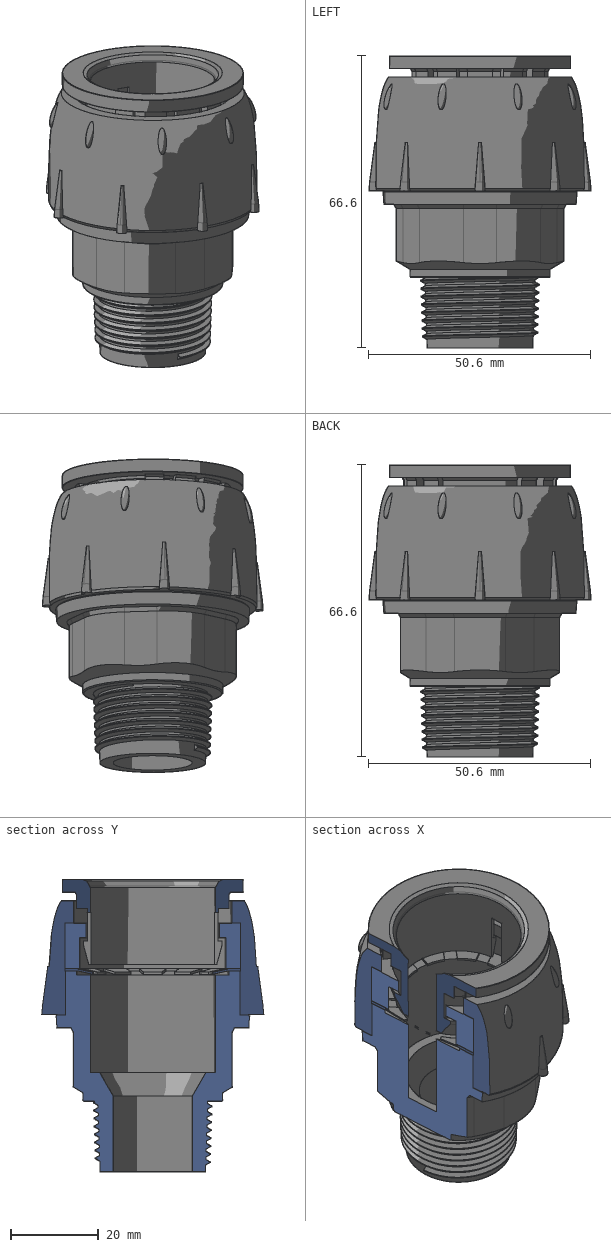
import cadquery as cq
import math


TOTAL_HEIGHT = 66.55
THREAD_START_Z = 2.2
BAND_BOTTOM_Z = 16.05
BAND_TOP_Z = 18.0
HEX_TOP_Z = 31.75
FLANGE_BOTTOM_Z = 32.75
NUT_BOTTOM_Z = 35.8
SLEEVE_TOP_Z = 45.7
GRIP_TOP_Z = 46.25
COLLAR_BOTTOM_Z = 47.25
CLAMP_TOP_Z = 56.65
NUT_TOP_Z = 61.75
COLLAR_FLANGE_BOTTOM_Z = 63.6

PIPE_RADIUS = 14.2
NUT_BORE_RADIUS = 19.95

CORE_RADIUS = 12.05
BAND_RADIUS = 16.0
BAND_CHAMFER = 0.25
HEX_SIDES = 6
HEX_APOTHEM = 18.1
HEX_CORNER_RADIUS = 11.65
HEX_CHAMFER_SLOPE = 0.6
HEX_FLARE = 0.5
FLANGE_RADIUS = 22.1
FLANGE_BOTTOM_RADIUS = 21.9
FLANGE_CHAMFER = 0.3
WATERWAY_RADIUS = 9.0
FUNNEL_RADIUS = 12.05
FUNNEL_BOTTOM_Z = 17.3
PIPE_STOP_Z = 22.6
GRIP_RECESS_RADIUS = 17.3
GRIP_RECESS_Z = 44.85

THREAD_TAPER = 1 / 32
THREAD_RISE = 14.2
THREAD_TURNS = 7.8
THREAD_DEPTH = 1.0
THREAD_BASE_WIDTH = 1.6
THREAD_CREST_WIDTH = 0.2
THREAD_OVERLAP = 0.25
CORE_TOP_RADIUS = CORE_RADIUS + BAND_TOP_Z * THREAD_TAPER

NUT_TOP_RADIUS = 20.8
NUT_SHOULDER = (22.55, 57.2)
NUT_WAIST = (23.5, 49.9)
NUT_TOP_DIRECTION = (-0.6, 0.8)
NUT_SKIRT_RADIUS = 23.75
NUT_SKIRT_DIRECTION = (0, 1)
NUT_BOTTOM_CHAMFER = 0.6
NUT_OPENING_RADIUS = 18.0
GRIP_COUNT = 8
RIB_OUTER_RADIUS = 25.3
RIB_KINK_RADIUS = 25.15
RIB_KINK_Z = 37.8
RIB_TIP_RADIUS = 23.95
RIB_TIP_Z = 46.8
RIB_BOTTOM_HALF_WIDTH = 1.2
RIB_KINK_HALF_WIDTH = 1.05
RIB_TIP_HALF_WIDTH = 0.3
BUMP_TOP = (21.2, 60.3)
BUMP_BOTTOM = (23.2, 54.3)
BUMP_HALF_WIDTH = 1.0

COLLAR_FLANGE_RADIUS = 20.6
COLLAR_EDGE_CHAMFER = 0.1
COLLAR_MOUTH_RADIUS = 15.85
COLLAR_LEAD_RADIUS = 15.0
COLLAR_LEAD_Z = 66.15
COLLAR_LEAD_BOTTOM_RADIUS = 14.4
COLLAR_LEAD_BOTTOM_Z = 65.0
COLLAR_BORE_TOP_Z = 64.7
COLLAR_NECK_RADIUS = 15.5
COLLAR_NECK_BOTTOM_Z = 59.9
COLLAR_FINGER_RADIUS = 15.0
NECK_FLARE_RADIUS_STEP = 0.3
NECK_FLARE_HEIGHT = 0.6
BARB_RADIUS = 15.85
BARB_TOP_Z = 52.6
BARB_BOTTOM_RADIUS = 14.65
BARB_SHOULDER_Z = 51.6
SLOT_WIDTH = 2.8
SLOT_TOP_Z = 59.0
NECK_RIB_RADIUS = 17.45
NECK_SIDE_ANGLES = (0, 180)
NECK_RIB_SPANS = ((-57.0, -43.0), (-33.9, -17.7), (-9.5, 9.5), (17.7, 33.9), (43.0, 57.0))

CLAMP_LIP_RADIUS = 15.2
CLAMP_LIP_BOTTOM_Z = 53.25
CLAMP_BORE_RADIUS = 16.65

GRIP_THICKNESS = GRIP_TOP_Z - SLEEVE_TOP_Z
GRIP_RIM_RADIUS = GRIP_RECESS_RADIUS
GRIP_TEETH_RADIUS = 13.65
GRIP_TEETH_DROP = 0.8
GRIP_GAP_COUNT = 12
GRIP_GAP_FIRST_ANGLE = 15.0
GRIP_GAP_WIDTH = 2.9


def revolve_profile(points):
    """Solid of revolution about Z from (radius, Z) points."""
    return cq.Workplane("XZ").polyline(points).close().revolve(360, (0, 0, 0), (0, 1, 0))


def make_hexagon():
    """Hexagon with large rounded corners along Y, coned at the bottom and flared into the flange."""
    corner_radius = HEX_APOTHEM / math.cos(math.pi / HEX_SIDES)
    outline = (
        cq.Sketch()
        .regularPolygon(corner_radius, HEX_SIDES)
        .vertices()
        .fillet(HEX_CORNER_RADIUS)
    )
    hexagon = (
        cq.Workplane("XY")
        .workplane(offset=BAND_TOP_Z)
        .placeSketch(outline)
        .extrude(FLANGE_BOTTOM_Z - BAND_TOP_Z)
    )
    flare_height = FLANGE_BOTTOM_Z - HEX_TOP_Z
    flare_angle = math.degrees(math.atan(HEX_FLARE / flare_height))
    flare = (
        cq.Workplane("XY")
        .workplane(offset=HEX_TOP_Z)
        .placeSketch(outline)
        .extrude(flare_height, taper=-flare_angle)
    )
    cone_top_z = BAND_TOP_Z + (corner_radius - BAND_RADIUS) * HEX_CHAMFER_SLOPE
    cone = revolve_profile([
        (0, BAND_TOP_Z),
        (BAND_RADIUS, BAND_TOP_Z),
        (corner_radius, cone_top_z),
        (corner_radius, FLANGE_BOTTOM_Z),
        (0, FLANGE_BOTTOM_Z),
    ])
    return hexagon.intersect(cone).union(flare)


def make_thread():
    """Right-hand tapered thread ridge, starting on the +X side."""
    pitch = THREAD_RISE / THREAD_TURNS
    root_radius = CORE_RADIUS + THREAD_START_Z * THREAD_TAPER
    inner_radius = root_radius - THREAD_OVERLAP
    crest_radius = root_radius + THREAD_DEPTH
    start = cq.Vector(0, 0, THREAD_START_Z)
    taper_angle = math.degrees(math.atan(THREAD_TAPER))
    helix = cq.Wire.makeHelix(pitch, THREAD_RISE, root_radius, start, angle=taper_angle)
    ridge = (
        cq.Workplane("XZ")
        .polyline([
            (inner_radius, THREAD_START_Z - THREAD_BASE_WIDTH / 2),
            (crest_radius, THREAD_START_Z - THREAD_CREST_WIDTH / 2),
            (crest_radius, THREAD_START_Z + THREAD_CREST_WIDTH / 2),
            (inner_radius, THREAD_START_Z + THREAD_BASE_WIDTH / 2),
        ])
        .close()
    )
    return ridge.sweep(cq.Workplane(obj=helix), isFrenet=True)


def make_housing():
    """Threaded spigot, hexagon, flange and inner sleeve, bored through for the pipe."""
    spigot = revolve_profile([
        (0, 0),
        (CORE_RADIUS, 0),
        (CORE_TOP_RADIUS, BAND_TOP_Z),
        (0, BAND_TOP_Z),
    ])
    band = revolve_profile([
        (0, BAND_BOTTOM_Z),
        (BAND_RADIUS - BAND_CHAMFER, BAND_BOTTOM_Z),
        (BAND_RADIUS, BAND_BOTTOM_Z + BAND_CHAMFER),
        (BAND_RADIUS, BAND_TOP_Z),
        (0, BAND_TOP_Z),
    ])
    flange = revolve_profile([
        (0, FLANGE_BOTTOM_Z),
        (FLANGE_BOTTOM_RADIUS, FLANGE_BOTTOM_Z),
        (FLANGE_RADIUS, NUT_BOTTOM_Z - FLANGE_CHAMFER),
        (FLANGE_RADIUS - FLANGE_CHAMFER, NUT_BOTTOM_Z),
        (NUT_BORE_RADIUS, NUT_BOTTOM_Z),
        (NUT_BORE_RADIUS, SLEEVE_TOP_Z),
        (0, SLEEVE_TOP_Z),
    ])
    bore = revolve_profile([
        (0, 0),
        (WATERWAY_RADIUS, 0),
        (WATERWAY_RADIUS, FUNNEL_BOTTOM_Z),
        (FUNNEL_RADIUS, PIPE_STOP_Z),
        (PIPE_RADIUS, PIPE_STOP_Z),
        (PIPE_RADIUS, GRIP_RECESS_Z),
        (GRIP_RECESS_RADIUS, GRIP_RECESS_Z),
        (GRIP_RECESS_RADIUS, SLEEVE_TOP_Z),
        (0, SLEEVE_TOP_Z),
    ])
    return spigot.union(make_thread()).union(band).union(make_hexagon()).union(flange).cut(bore)


def make_nut_rib():
    """Tapered round grip rib on the +X side, widest at the bottom of the nut."""
    def section(z, outer_radius, half_width):
        centre = cq.Vector(outer_radius - half_width, 0, z)
        return cq.Wire.makeCircle(half_width, centre, cq.Vector(0, 0, 1))

    sections = [
        section(NUT_BOTTOM_Z, RIB_OUTER_RADIUS, RIB_BOTTOM_HALF_WIDTH),
        section(RIB_KINK_Z, RIB_KINK_RADIUS, RIB_KINK_HALF_WIDTH),
        section(RIB_TIP_Z, RIB_TIP_RADIUS, RIB_TIP_HALF_WIDTH),
    ]
    return cq.Workplane(obj=cq.Solid.makeLoft(sections, True))


def make_nut_bump():
    """Ellipsoid bump on the +X side, lying along the rounded shoulder of the nut."""
    radius_change = BUMP_TOP[0] - BUMP_BOTTOM[0]
    rise = BUMP_TOP[1] - BUMP_BOTTOM[1]
    centre = ((BUMP_TOP[0] + BUMP_BOTTOM[0]) / 2, 0, (BUMP_TOP[1] + BUMP_BOTTOM[1]) / 2)
    half_length = math.hypot(radius_change, rise) / 2
    lean = math.degrees(math.atan2(radius_change, rise))
    return (
        cq.Workplane("XZ")
        .moveTo(0, -half_length)
        .ellipseArc(BUMP_HALF_WIDTH, half_length, -90, 90, startAtCurrent=True)
        .close()
        .revolve(360, (0, 0, 0), (0, 1, 0))
        .rotate((0, 0, 0), (0, 1, 0), lean)
        .translate(centre)
    )


def make_nut():
    """Domed union nut with eight ribs and eight bumps around it."""
    body = (
        cq.Workplane("XZ")
        .moveTo(NUT_BORE_RADIUS, NUT_BOTTOM_Z)
        .lineTo(NUT_SKIRT_RADIUS - NUT_BOTTOM_CHAMFER / 2, NUT_BOTTOM_Z)
        .lineTo(NUT_SKIRT_RADIUS, NUT_BOTTOM_Z + NUT_BOTTOM_CHAMFER)
        .spline(
            [NUT_WAIST, NUT_SHOULDER, (NUT_TOP_RADIUS, NUT_TOP_Z)],
            tangents=[NUT_SKIRT_DIRECTION, NUT_TOP_DIRECTION],
            includeCurrent=True,
        )
        .lineTo(NUT_OPENING_RADIUS, NUT_TOP_Z)
        .lineTo(NUT_OPENING_RADIUS, CLAMP_TOP_Z)
        .lineTo(NUT_BORE_RADIUS, CLAMP_TOP_Z)
        .close()
        .revolve(360, (0, 0, 0), (0, 1, 0))
    )
    rib = make_nut_rib()
    bump = make_nut_bump()
    step = 360 / GRIP_COUNT
    for index in range(GRIP_COUNT):
        body = body.union(rib.rotate((0, 0, 0), (0, 0, 1), index * step))
        body = body.union(bump.rotate((0, 0, 0), (0, 0, 1), (index + 0.5) * step))
    return body


def make_neck_rib(start_angle, end_angle):
    """Arc-shaped rib around the collar neck, between two angles from +X."""
    flare_z = COLLAR_FLANGE_BOTTOM_Z - NECK_FLARE_HEIGHT
    return (
        cq.Workplane("XZ")
        .polyline([
            (COLLAR_FINGER_RADIUS, COLLAR_NECK_BOTTOM_Z),
            (NECK_RIB_RADIUS, COLLAR_NECK_BOTTOM_Z),
            (NECK_RIB_RADIUS, flare_z),
            (NECK_RIB_RADIUS + NECK_FLARE_RADIUS_STEP, COLLAR_FLANGE_BOTTOM_Z),
            (COLLAR_FINGER_RADIUS, COLLAR_FLANGE_BOTTOM_Z),
        ])
        .close()
        .revolve(end_angle - start_angle, (0, 0, 0), (0, 1, 0))
    )


def make_collar():
    """Release collar: flanged tube with a split, barbed lower end and ribs on both sides of its neck."""
    flare_z = COLLAR_FLANGE_BOTTOM_Z - NECK_FLARE_HEIGHT
    flange_edge = COLLAR_FLANGE_RADIUS - COLLAR_EDGE_CHAMFER
    body = revolve_profile([
        (PIPE_RADIUS, COLLAR_BOTTOM_Z),
        (BARB_BOTTOM_RADIUS, COLLAR_BOTTOM_Z),
        (BARB_RADIUS, BARB_SHOULDER_Z),
        (BARB_RADIUS, BARB_TOP_Z),
        (COLLAR_FINGER_RADIUS, BARB_TOP_Z),
        (COLLAR_FINGER_RADIUS, COLLAR_NECK_BOTTOM_Z),
        (COLLAR_NECK_RADIUS, COLLAR_NECK_BOTTOM_Z),
        (COLLAR_NECK_RADIUS, flare_z),
        (COLLAR_NECK_RADIUS + NECK_FLARE_RADIUS_STEP, COLLAR_FLANGE_BOTTOM_Z),
        (flange_edge, COLLAR_FLANGE_BOTTOM_Z),
        (COLLAR_FLANGE_RADIUS, COLLAR_FLANGE_BOTTOM_Z + COLLAR_EDGE_CHAMFER),
        (COLLAR_FLANGE_RADIUS, TOTAL_HEIGHT - COLLAR_EDGE_CHAMFER),
        (flange_edge, TOTAL_HEIGHT),
        (COLLAR_MOUTH_RADIUS, TOTAL_HEIGHT),
        (COLLAR_LEAD_RADIUS, COLLAR_LEAD_Z),
        (COLLAR_LEAD_BOTTOM_RADIUS, COLLAR_LEAD_BOTTOM_Z),
        (PIPE_RADIUS, COLLAR_BORE_TOP_Z),
    ])
    for start_angle, end_angle in NECK_RIB_SPANS:
        rib = make_neck_rib(start_angle, end_angle)
        for side_angle in NECK_SIDE_ANGLES:
            body = body.union(rib.rotate((0, 0, 0), (0, 0, 1), start_angle + side_angle))
    slot = (
        cq.Workplane("XY")
        .workplane(offset=COLLAR_BOTTOM_Z)
        .rect(2 * COLLAR_FLANGE_RADIUS, SLOT_WIDTH)
        .extrude(SLOT_TOP_Z - COLLAR_BOTTOM_Z)
    )
    return body.cut(slot)


def make_clamp_ring():
    """Ring inside the nut, with a lip above the collar barb."""
    return revolve_profile([
        (CLAMP_BORE_RADIUS, GRIP_TOP_Z),
        (NUT_BORE_RADIUS, GRIP_TOP_Z),
        (NUT_BORE_RADIUS, CLAMP_TOP_Z),
        (CLAMP_LIP_RADIUS, CLAMP_TOP_Z),
        (CLAMP_LIP_RADIUS, CLAMP_LIP_BOTTOM_Z),
        (CLAMP_BORE_RADIUS, CLAMP_LIP_BOTTOM_Z),
    ])


def make_grip_ring():
    """Flat rim with a ring of teeth, split by gaps, that slope inward and down."""
    ring = revolve_profile([
        (GRIP_RIM_RADIUS, SLEEVE_TOP_Z),
        (NUT_BORE_RADIUS, SLEEVE_TOP_Z),
        (NUT_BORE_RADIUS, GRIP_TOP_Z),
        (GRIP_RIM_RADIUS, GRIP_TOP_Z),
        (GRIP_TEETH_RADIUS, GRIP_TOP_Z - GRIP_TEETH_DROP),
        (GRIP_TEETH_RADIUS, SLEEVE_TOP_Z - GRIP_TEETH_DROP),
    ])
    gap_height = GRIP_THICKNESS + GRIP_TEETH_DROP
    for index in range(GRIP_GAP_COUNT):
        gap = (
            cq.Workplane("XY")
            .workplane(offset=GRIP_TOP_Z - gap_height)
            .rect(GRIP_RIM_RADIUS, GRIP_GAP_WIDTH)
            .extrude(gap_height)
            .translate((GRIP_RIM_RADIUS / 2, 0, 0))
        )
        angle = GRIP_GAP_FIRST_ANGLE + index * 360 / GRIP_GAP_COUNT
        ring = ring.cut(gap.rotate((0, 0, 0), (0, 0, 1), angle))
    return ring


housing = make_housing()
nut = make_nut()
collar = make_collar()
clamp_ring = make_clamp_ring()
grip_ring = make_grip_ring()

result = cq.Compound.makeCompound([
    housing.val(),
    nut.val(),
    collar.val(),
    clamp_ring.val(),
    grip_ring.val(),
])